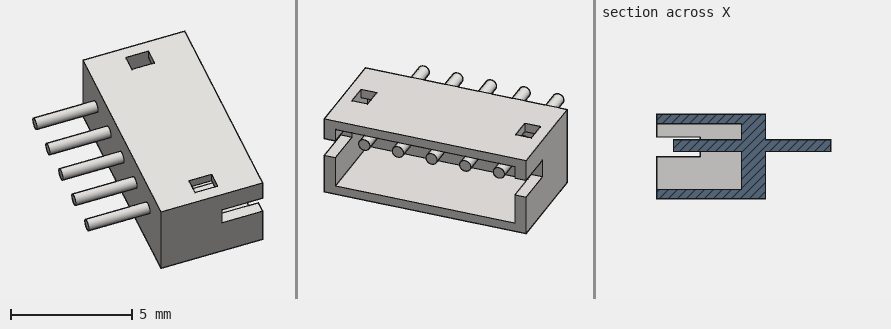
import cadquery as cq

housing_width = 9.0
housing_depth = 4.5
housing_height = 3.5

side_wall = 0.5
top_wall = 0.4
floor_wall = 0.4
back_wall = 1.0

slot_depth = 1.8
slot_height = 0.8
slot_bottom = 1.75

window_width = 0.7
window_depth = 1.0

pin_count = 5
pin_pitch = 1.5
pin_diameter = 0.5
pin_height = 2.2
pin_tail = 2.7
pin_tip_setback = 0.7

cavity_width = housing_width - 2 * side_wall
slot_end = housing_depth - slot_depth


def box(width, depth, height, x_center, y_start, z_start):
    """Box centred on x_center, growing towards +Y and +Z."""
    return (
        cq.Workplane("XY")
        .box(width, depth, height, centered=(True, False, False))
        .translate((x_center, y_start, z_start))
    )


def make_housing():
    cavity = box(
        cavity_width,
        housing_depth - back_wall,
        housing_height - top_wall - floor_wall,
        0,
        back_wall,
        floor_wall,
    )
    side_slots = box(housing_width, slot_depth, slot_height, 0, slot_end, slot_bottom)
    housing = box(housing_width, housing_depth, housing_height, 0, 0, 0)
    housing = housing.cut(cavity).cut(side_slots)

    window_offset = (cavity_width - window_width) / 2
    for side in (-1, 1):
        window = box(
            window_width,
            window_depth,
            top_wall,
            side * window_offset,
            slot_end - window_depth,
            housing_height - top_wall,
        )
        housing = housing.cut(window)
    return housing


def make_pin(x_position):
    pin_length = pin_tail + housing_depth - pin_tip_setback
    return cq.Workplane(
        cq.Solid.makeCylinder(
            pin_diameter / 2,
            pin_length,
            cq.Vector(x_position, -pin_tail, pin_height),
            cq.Vector(0, 1, 0),
        )
    )


result = make_housing()
for index in range(pin_count):
    result = result.union(make_pin((index - (pin_count - 1) / 2) * pin_pitch))